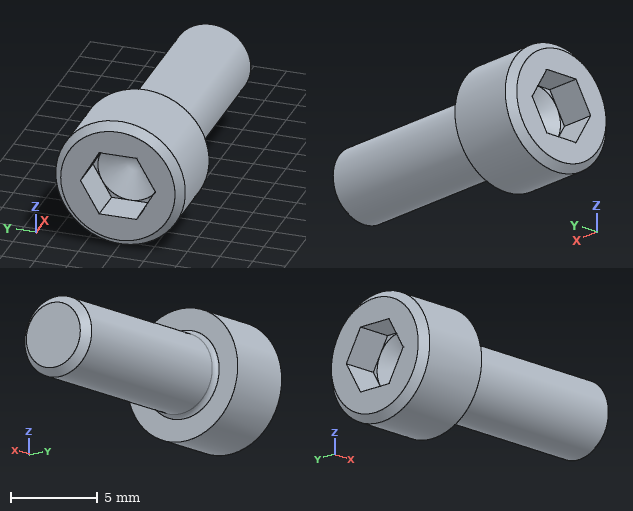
import cadquery as cq
import math

total_length = 17.53
head_diameter = 7.94
head_length = 4.82
head_chamfer = 0.47
shank_diameter = 4.82
tip_chamfer = 0.47
neck_length = 0.37
neck_rise = 0.23
socket_flats = 3.96
socket_depth = 2.26
drill_point_angle = 120.0

head_radius = head_diameter / 2
shank_radius = shank_diameter / 2
overcut = 0.18


def make_body():
    """Revolved head and shank; the neck arc is tangent to the shank."""
    neck_radius = (neck_length**2 + neck_rise**2) / (2 * neck_rise)
    half_sweep = math.asin(neck_length / neck_radius) / 2
    neck_end = head_length + neck_length
    neck_middle = (
        neck_end - neck_radius * math.sin(half_sweep),
        shank_radius + neck_radius * (1 - math.cos(half_sweep)),
    )
    return (
        cq.Workplane("XY")
        .moveTo(0, 0)
        .lineTo(0, head_radius - head_chamfer)
        .lineTo(head_chamfer, head_radius)
        .lineTo(head_length, head_radius)
        .lineTo(head_length, shank_radius + neck_rise)
        .threePointArc(neck_middle, (neck_end, shank_radius))
        .lineTo(total_length - tip_chamfer, shank_radius)
        .lineTo(total_length, shank_radius - tip_chamfer)
        .lineTo(total_length, 0)
        .close()
        .revolve(360, (0, 0, 0), (1, 0, 0))
    )


def make_socket():
    """Hexagonal recess, corners toward +Y and -Y, with a conical bottom."""
    corner_diameter = socket_flats / math.cos(math.pi / 6)
    hexagon = (
        cq.Workplane("YZ", origin=(-overcut, 0, 0))
        .polygon(6, corner_diameter)
        .extrude(socket_depth + overcut)
    )
    cone_radius = socket_flats / 2
    cone_depth = cone_radius / math.tan(math.radians(drill_point_angle / 2))
    cone = cq.Solid.makeCone(
        cone_radius, 0, cone_depth,
        pnt=cq.Vector(socket_depth, 0, 0), dir=cq.Vector(1, 0, 0),
    )
    return hexagon.union(cq.Workplane(obj=cone))


result = make_body().cut(make_socket())